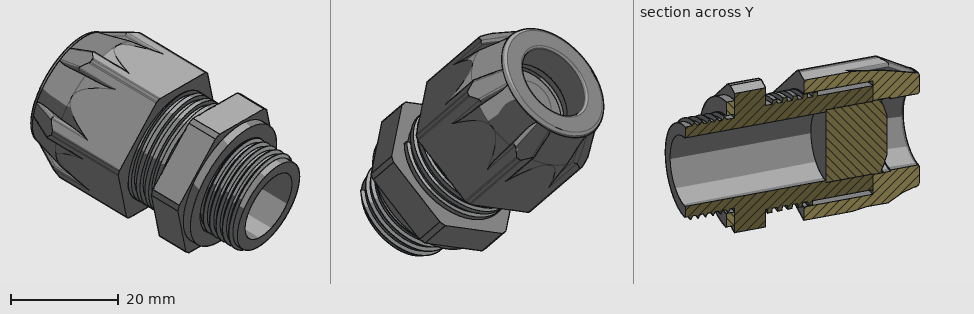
import cadquery as cq
import math

LENGTH = 47.3

CORNER_ANGLE = 100.0
SIDES = 6
SIDE_ANGLE = 360.0 / SIDES

CLEARANCE = 0.45
TOLERANCE = 0.0005

CAP_LENGTH = 23.32
CAP_CORNER_RADIUS = 15.65
CAP_CORNER_CUT = 0.3
CAP_CORNER_ROUND = 0.55
LIP_RADIUS = 11.8
LIP_ROUND = 0.75
RIDGE_CONE_END = 7.5
GRIP_CONE_START = LIP_ROUND
GRIP_CONE_END = 7.65
GRIP_START_RADIUS = 11.75
GRIP_SLOT_RADIUS = 10.4
GRIP_END = 14.65
GRIP_ANGLE = 40.0
RIDGE_ROUND = 0.65
BORE_DIAMETER = 14.55
BORE_ROUND = 0.45
BORE_LENGTH = 5.85
CAVITY_DIAMETER = 23.25
CAVITY_START = 9.45

SEAL_DIAMETER = 15.1
SEAL_START = 7.25
SEAL_END = 18.92
SEAL_RIM_DIAMETER = 14.55
SEAL_GROOVE_DEPTH = 0.5
DOME_TIP_X = 6.55
DOME_TIP_DIAMETER = 8.05
DOME_BULGE = 0.15

PASSAGE_DIAMETER = 14.0
HEX_START = 31.05
HEX_END = 37.35
HEX_CORNER_RADIUS = 15.55
HEX_CORNER_CUT = 0.4
THREAD_SINK = 0.15

CAP_THREAD_CORE = 21.5
CAP_THREAD_CREST = 23.15
CAP_THREAD_PITCH = 2.05
CAP_THREAD_TURNS = 5.0
CAP_THREAD_END = 30.7
CAP_THREAD_ROOT_WIDTH = 1.15
CAP_THREAD_CREST_WIDTH = 0.9

ENTRY_THREAD_CORE = 18.65
ENTRY_THREAD_CREST = 19.9
ENTRY_THREAD_PITCH = 1.5
ENTRY_THREAD_TURNS = 5.5
ENTRY_THREAD_END = 46.55
ENTRY_THREAD_ROOT_WIDTH = 1.15
ENTRY_THREAD_CREST_WIDTH = 0.1

GASKET_DIAMETER = 25.8
GASKET_BORE = 20.0
GASKET_END = 39.05


def cylinder(diameter, start, end):
    return cq.Workplane("YZ", origin=(start, 0, 0)).circle(diameter / 2).extrude(end - start)


def turned(profile, angle=360.0):
    """Revolve a closed (x, radius) outline about the X axis."""
    return profile.revolve(angle, (0, 0, 0), (1, 0, 0))


def hexagon(corner_radius, corner_cut, start, end):
    """Hexagonal prism with a flat cut off every corner."""
    cut_radius = corner_radius - corner_cut
    half_width = corner_cut * math.tan(math.radians(SIDE_ANGLE))
    reach = math.hypot(cut_radius, half_width)
    spread = math.degrees(math.atan2(half_width, cut_radius))
    points = []
    for i in range(SIDES):
        corner = CORNER_ANGLE + i * SIDE_ANGLE
        for angle in (corner - spread, corner + spread):
            turn = math.radians(angle)
            points.append((reach * math.cos(turn), reach * math.sin(turn)))
    return cq.Workplane("YZ", origin=(start, 0, 0)).polyline(points).close().extrude(end - start)


def thread(core, crest, pitch, turns, end, root_width, crest_width):
    """Right-handed thread that stops on the +Y side, centred on X = end."""
    root = core / 2 - THREAD_SINK
    height = pitch * turns
    helix = cq.Workplane(cq.Wire.makeHelix(pitch, height, root))
    ridge = (
        cq.Workplane("XZ")
        .moveTo(root, -root_width / 2)
        .lineTo(crest / 2, -crest_width / 2)
        .lineTo(crest / 2, crest_width / 2)
        .lineTo(root, root_width / 2)
        .close()
        .sweep(helix, isFrenet=True)
    )
    along_x = ridge.rotate((0, 0, 0), (0, 1, 0), 90)
    to_end = 90.0 - turns * 360.0
    return along_x.rotate((0, 0, 0), (1, 0, 0), to_end).translate((end - height, 0, 0))


def cap_envelope():
    """Hexagon whose corners are turned down to a cone with a rounded lip."""
    prism = hexagon(CAP_CORNER_RADIUS, CAP_CORNER_CUT, 0, CAP_LENGTH).edges("|X").fillet(CAP_CORNER_ROUND)
    ridge_radius = CAP_CORNER_RADIUS - CAP_CORNER_CUT
    slope = (ridge_radius - LIP_RADIUS) / (RIDGE_CONE_END - LIP_ROUND)
    clear_radius = CAP_CORNER_RADIUS + CLEARANCE
    clear_x = LIP_ROUND + (clear_radius - LIP_RADIUS) / slope
    face_radius = LIP_RADIUS - LIP_ROUND
    middle = LIP_ROUND * math.sqrt(0.5)
    outline = (
        cq.Workplane("XY")
        .lineTo(0, face_radius)
        .threePointArc((LIP_ROUND - middle, face_radius + middle), (LIP_ROUND, LIP_RADIUS))
        .lineTo(clear_x, clear_radius)
        .lineTo(CAP_LENGTH, clear_radius)
        .lineTo(CAP_LENGTH, 0)
        .close()
    )
    return prism.intersect(turned(outline))


def grip_slot(index):
    """Sector-shaped slot through one flat, with radial walls."""
    clear_radius = CAP_CORNER_RADIUS + CLEARANCE
    outline = (
        cq.Workplane("XY")
        .moveTo(GRIP_CONE_START, GRIP_SLOT_RADIUS)
        .lineTo(GRIP_END, GRIP_SLOT_RADIUS)
        .lineTo(GRIP_END, clear_radius)
        .lineTo(GRIP_CONE_START, clear_radius)
        .close()
    )
    flat_centre = CORNER_ANGLE + (index + 0.5) * SIDE_ANGLE
    return turned(outline, GRIP_ANGLE).rotate((0, 0, 0), (1, 0, 0), flat_centre - GRIP_ANGLE / 2)


def round_ridges(cap):
    """Round the outer edges of the slot walls, along the flats and down the front cone."""
    rim_edges = []
    for face in cap.faces("%PLANE").vals():
        normal = face.normalAt()
        is_slot_wall = abs(normal.x) < TOLERANCE and abs(face.Center().dot(normal)) < TOLERANCE
        if not is_slot_wall:
            continue
        for edge in face.Edges():
            middle = edge.positionAt(0.5)
            between_ends = GRIP_CONE_START + TOLERANCE < middle.x < GRIP_END - TOLERANCE
            above_bottom = math.hypot(middle.y, middle.z) > GRIP_SLOT_RADIUS + TOLERANCE
            if between_ends and above_bottom:
                rim_edges.append(edge)
    return cap.newObject(rim_edges).fillet(RIDGE_ROUND)


def grip_floor():
    """Floor of the grip recesses: a cone up to the middle of the flats, then a shallower one."""
    apothem = CAP_CORNER_RADIUS * math.cos(math.radians(SIDE_ANGLE / 2))
    material_angle = 90.0 + GRIP_ANGLE / 2
    setback = RIDGE_ROUND / math.tan(math.radians(material_angle / 2))
    end_radius = math.hypot(apothem, apothem * math.tan(math.radians(GRIP_ANGLE / 2)) + setback)
    outline = (
        cq.Workplane("XY")
        .moveTo(GRIP_CONE_START, 0)
        .lineTo(GRIP_CONE_START, GRIP_START_RADIUS)
        .lineTo(GRIP_CONE_END, apothem)
        .lineTo(GRIP_END, end_radius)
        .lineTo(GRIP_END, 0)
        .close()
    )
    return turned(outline)


def make_cap():
    envelope = cap_envelope()
    cap = envelope
    for i in range(SIDES):
        cap = cap.cut(grip_slot(i))
    cap = round_ridges(cap)
    cap = cap.union(grip_floor().intersect(envelope))
    cap = cap.cut(cylinder(BORE_DIAMETER, 0, CAP_LENGTH))
    cap = cap.faces("<X").edges(cq.selectors.RadiusNthSelector(0)).fillet(BORE_ROUND)
    cap = cap.cut(cylinder(SEAL_DIAMETER, BORE_LENGTH, CAVITY_START))
    return cap.cut(cylinder(CAVITY_DIAMETER, CAVITY_START, CAP_LENGTH))


def make_seal():
    """Plug with a domed front, a flat tip and a shallow groove inside its rim."""
    tip_radius = DOME_TIP_DIAMETER / 2
    rim_radius = SEAL_RIM_DIAMETER / 2
    groove_x = SEAL_START + SEAL_GROOVE_DEPTH
    middle = ((DOME_TIP_X + groove_x) / 2 - DOME_BULGE, (tip_radius + rim_radius) / 2)
    outline = (
        cq.Workplane("XY")
        .moveTo(DOME_TIP_X, 0)
        .lineTo(DOME_TIP_X, tip_radius)
        .threePointArc(middle, (groove_x, rim_radius))
        .lineTo(SEAL_START, SEAL_DIAMETER / 2)
        .lineTo(SEAL_END, SEAL_DIAMETER / 2)
        .lineTo(SEAL_END, 0)
        .close()
    )
    return turned(outline)


def make_body():
    body = cylinder(CAP_THREAD_CORE, CAVITY_START, HEX_START)
    body = body.union(hexagon(HEX_CORNER_RADIUS, HEX_CORNER_CUT, HEX_START, HEX_END))
    body = body.union(cylinder(ENTRY_THREAD_CORE, HEX_END, LENGTH))
    body = body.union(
        thread(
            CAP_THREAD_CORE, CAP_THREAD_CREST, CAP_THREAD_PITCH, CAP_THREAD_TURNS,
            CAP_THREAD_END, CAP_THREAD_ROOT_WIDTH, CAP_THREAD_CREST_WIDTH,
        )
    )
    body = body.union(
        thread(
            ENTRY_THREAD_CORE, ENTRY_THREAD_CREST, ENTRY_THREAD_PITCH, ENTRY_THREAD_TURNS,
            ENTRY_THREAD_END, ENTRY_THREAD_ROOT_WIDTH, ENTRY_THREAD_CREST_WIDTH,
        )
    )
    body = body.cut(cylinder(SEAL_DIAMETER, CAVITY_START, SEAL_END))
    return body.cut(cylinder(PASSAGE_DIAMETER, SEAL_END, LENGTH))


def make_gasket():
    return cylinder(GASKET_DIAMETER, HEX_END, GASKET_END).cut(cylinder(GASKET_BORE, HEX_END, GASKET_END))


cap = make_cap()
seal = make_seal()
body = make_body()
gasket = make_gasket()

result = cq.Compound.makeCompound([part.solids().val() for part in (cap, seal, body, gasket)])